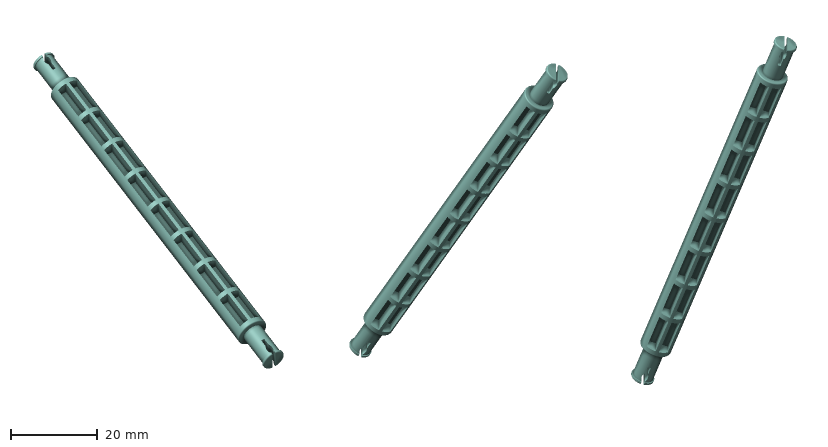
import cadquery as cq

total_length = 100.2
body_diameter = 7.5
body_length = 81.8
body_fillet = 0.3
pin_diameter = 4.9

flange_diameter = 5.5
flange_thickness = 0.7
flange_fillet = 0.3

slot_width = 0.8
slot_length = 4.9
slot_corner_fillet = 0.2
lens_width = 1.5
lens_length = 2.2
lens_inset = 1.9

pocket_count = 8
pocket_pitch = 10.0
wall_thickness = 1.2
web_thickness = 0.8

body_radius = body_diameter / 2
pocket_length = pocket_pitch - wall_thickness
pocket_inner = web_thickness / 2
pocket_width = body_radius - wall_thickness - pocket_inner
pocket_depth = body_radius - web_thickness / 2


def outer_face(side):
    """Selector for the end face pointing away from the middle of the shaft."""
    return ">X" if side > 0 else "<X"


def inner_face(side):
    """Selector for the end face pointing towards the middle of the shaft."""
    return outer_face(-side)


def rod(diameter, length, center_x=0.0):
    """Solid cylinder along X, centred on center_x."""
    return (
        cq.Workplane("YZ", origin=(center_x - length / 2, 0, 0))
        .circle(diameter / 2)
        .extrude(length)
    )


def end_flange(side):
    """Retaining flange at one end of the shaft, rounded on its outer rim."""
    center_x = side * (total_length - flange_thickness) / 2
    flange = rod(flange_diameter, flange_thickness, center_x)
    return flange.faces(outer_face(side)).edges().fillet(flange_fillet)


def slot_lens(side):
    """Widening of the end slot, bounded by two arcs that meet the slot walls."""
    half_length = lens_length / 2
    half_slot = slot_width / 2
    half_width = lens_width / 2
    center_x = side * (total_length / 2 - lens_inset)
    return (
        cq.Workplane("XY", origin=(center_x, 0, -body_radius))
        .moveTo(-half_length, -half_slot)
        .threePointArc((0, -half_width), (half_length, -half_slot))
        .lineTo(half_length, half_slot)
        .threePointArc((0, half_width), (-half_length, half_slot))
        .close()
        .extrude(body_diameter)
    )


def end_slot(side):
    """Cutter for the slot that splits one pin end into two prongs."""
    slot = cq.Workplane("XY").box(slot_length, slot_width, body_diameter)
    slot = slot.faces(inner_face(side)).edges("|Z").fillet(slot_corner_fillet)
    slot = slot.translate((side * (total_length - slot_length) / 2, 0, 0))
    return slot.union(slot_lens(side))


def pocket_row(y_side, z_side):
    """Cutter for the row of pockets on one side of the web, opening up or down."""
    center_y = y_side * (pocket_inner + pocket_width / 2)
    center_z = z_side * (body_radius - pocket_depth / 2)
    return (
        cq.Workplane("XY", origin=(0, center_y, center_z))
        .rarray(pocket_pitch, 1, pocket_count, 1)
        .box(pocket_length, pocket_width, pocket_depth)
    )


body = rod(body_diameter, body_length).edges().fillet(body_fillet)
shaft = rod(pin_diameter, total_length - flange_thickness).union(body)

for side in (-1, 1):
    shaft = shaft.union(end_flange(side)).cut(end_slot(side))

for y_side in (-1, 1):
    for z_side in (-1, 1):
        shaft = shaft.cut(pocket_row(y_side, z_side))

result = shaft